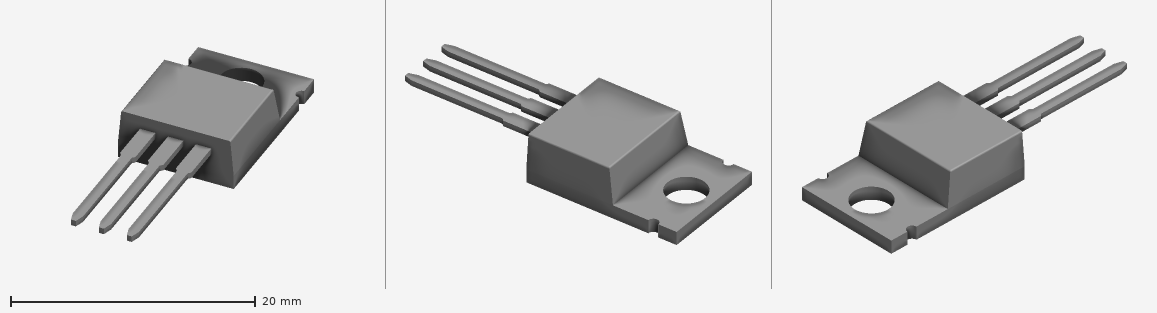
import cadquery as cq


width = 10.54
total_length = 29.27
total_height = 4.7

tab_length = 15.2
tab_thickness = 1.32
hole_diameter = 3.8
hole_from_end = 2.83
notch_radius = 0.5
notch_from_end = 2.36

body_length = 8.76
side_draft_inset = 0.31
rear_draft_inset = 0.59
body_edge_radius = 0.15

lead_pitch = 2.54
lead_thickness = 0.55
lead_bottom = 2.9
lead_length = total_length - tab_length
shoulder_width = 1.4
shoulder_length = 3.8
shoulder_taper_length = 0.22
lead_width = 0.95
tip_width = 0.45
tip_length = 0.85


def make_tab():
    """Flat plate with a mounting hole and a half-round notch in each long edge."""
    tab = cq.Workplane("XY").box(width, tab_length, tab_thickness, centered=(True, False, False))
    hole = (
        cq.Workplane("XY")
        .center(0, tab_length - hole_from_end)
        .circle(hole_diameter / 2)
        .extrude(tab_thickness)
    )
    notches = (
        cq.Workplane("XY")
        .pushPoints([(side * width / 2, tab_length - notch_from_end) for side in (-1, 1)])
        .circle(notch_radius)
        .extrude(tab_thickness)
    )
    return tab.cut(hole).cut(notches)


def make_body():
    """Block on the tab, sloped at the sides and rear, with those three top edges rounded."""
    top_width = width - 2 * side_draft_inset
    top_length = body_length - rear_draft_inset
    block = (
        cq.Workplane("XY", origin=(0, 0, tab_thickness))
        .center(0, body_length / 2)
        .rect(width, body_length)
        .workplane(offset=total_height - tab_thickness)
        .center(0, -rear_draft_inset / 2)
        .rect(top_width, top_length)
        .loft(ruled=True)
    )
    return block.faces(">Z").edges("|Y or >Y").fillet(body_edge_radius)


def make_lead(center_x):
    """Flat lead with a wide shoulder at the body and a tapered tip."""
    shoulder_end = -shoulder_length
    narrow_start = shoulder_end - shoulder_taper_length
    tip_start = tip_length - lead_length
    right_side = [
        (shoulder_width / 2, 0),
        (shoulder_width / 2, shoulder_end),
        (lead_width / 2, narrow_start),
        (lead_width / 2, tip_start),
        (tip_width / 2, -lead_length),
    ]
    left_side = [(-x, y) for x, y in reversed(right_side)]
    return (
        cq.Workplane("XY", origin=(center_x, 0, lead_bottom))
        .polyline(right_side + left_side)
        .close()
        .extrude(lead_thickness)
    )


result = make_tab().union(make_body())
for position in (-1, 0, 1):
    result = result.union(make_lead(position * lead_pitch))